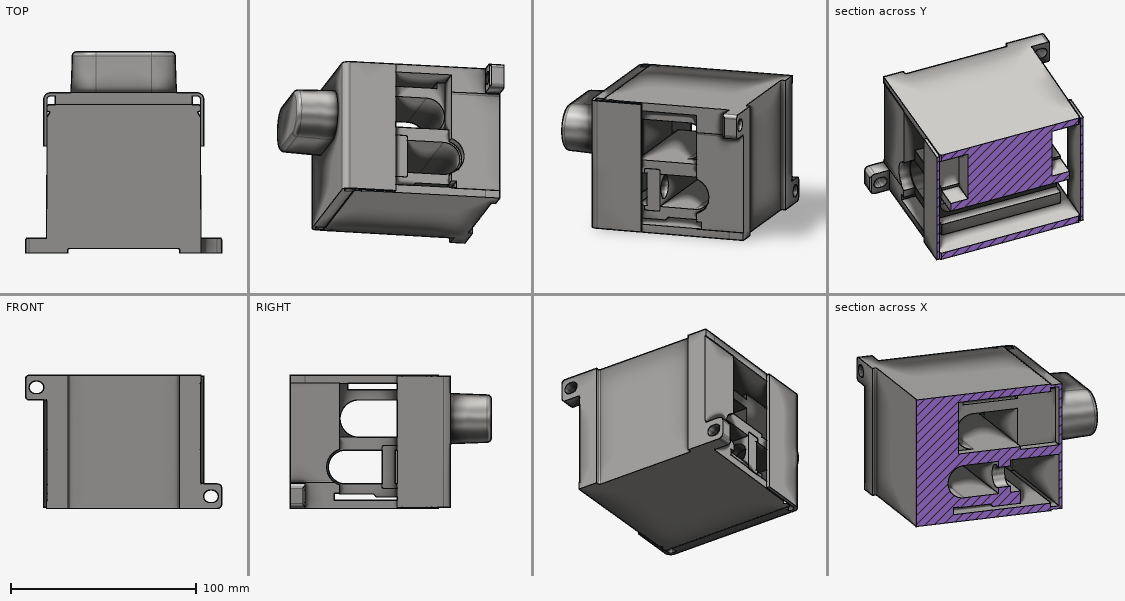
import cadquery as cq

HOUSING_HEIGHT = 72.0
TOTAL_WIDTH = 106.0
TOTAL_DEPTH = 108.6
HALF_HEIGHT = HOUSING_HEIGHT / 2
SPAN = 2 * TOTAL_WIDTH

BASE_HALF_WIDTH = 41.8
END_HALF_WIDTH = 41.3
HOUSING_DEPTH = 80.0
END_CHAMFER = 0.6
SNAP_NOTCH_Y = (73.6, 76.0, 76.6)
SNAP_NOTCH_DEPTH = 1.5
PLATE_THICKNESS = 4.5
PLATE_INNER_Z = HALF_HEIGHT - PLATE_THICKNESS
BASE_DEPTH = 26.7

TAB_DEPTH = 8.0
TAB_HEIGHT = 13.4
LEFT_TAB_RADIUS = 2.0
RIGHT_TAB_RADIUS = 2.7
TAB_BEVEL_WIDTH = 0.5
TAB_BEVEL_DEPTH = 1.1
TAB_HOLE_X = 47.1
TAB_HOLE_Z = 29.4
TAB_HOLE_LENGTH = 7.8
TAB_HOLE_WIDTH = 6.6
PANEL_HALF_WIDTH = 41.4
PANEL_END_Z = 31.8
TAB_ROOT_RADIUS = 1.6

RELIEF_HALF_WIDTH = 30.2
RELIEF_DEPTH = 2.4
RELIEF_FILLET = 1.0

FRAME_HALF_WIDTH = 35.0
FRAME_END_Y = 62.6
CORE_HALF_WIDTH = 24.8
LOWER_FRAME_Z = -28.2
LOWER_FRAME_STEP = 1.6
LOWER_STEP_START_Y = 45.0
UPPER_FRAME_Z = 28.2
UPPER_SLOT_RADIUS = 10.0
UPPER_SLOT_Y = 37.0
UPPER_SLOT_Z = 12.55
LOWER_SLOT_RADIUS = 9.0
LOWER_SLOT_Y = 29.7
LOWER_SLOT_Z = -13.6
SCALLOP_RADIUS = 10.0
UPPER_GAP_START_Y = 31.2
LOWER_GAP_START_Y = 23.9
LOWER_GAP_MOUTH_Z = -27.8
RAIL_TOP_Z = UPPER_SLOT_Z - UPPER_SLOT_RADIUS
SHELF_TOP_Z = 1.0
SHELF_BOTTOM_Z = LOWER_SLOT_Z + LOWER_SLOT_RADIUS

POST_START_Y = 49.6
POST_END_Y = 56.8
POST_HOLE_X = 27.0
POST_HOLE_RADIUS = 6.3
PAD_HEIGHT = 23.2
PAD_END_Y = 58.4
PAD_THICKNESS = 0.2
PAD_RADIUS = 1.0

COVER_HALF_WIDTH = 43.2
COVER_HALF_HEIGHT = 35.4
COVER_THICKNESS = 1.8
COVER_START_Y = 57.7
COVER_END_Y = 86.5
COVER_RADIUS = 3.7
COVER_INNER_Y = COVER_END_Y - COVER_THICKNESS
LIP_HALF_WIDTH = 37.0

KNOB_RADIUS = 13.6
KNOB_CENTRE_DISTANCE = 30.0
KNOB_DRAFT = 2.2
KNOB_FILLET = 2.4
KNOB_HEIGHT = TOTAL_DEPTH - COVER_END_Y


def block(x_range, y_range, z_range):
    """Axis-aligned block between the given (low, high) limits."""
    (x0, x1), (y0, y1), (z0, z1) = x_range, y_range, z_range
    return cq.Workplane("XY").box(x1 - x0, y1 - y0, z1 - z0, centered=False).translate((x0, y0, z0))


def wide_block(half_width, y_range, z_range):
    """Block centred on X = 0."""
    return block((-half_width, half_width), y_range, z_range)


def slot_end(radius, y, z, half_width, end_y):
    """Slot through the part along X: round towards the mounting face, straight to end_y."""
    rounded = cq.Workplane("YZ").center(y, z).circle(radius).extrude(half_width, both=True)
    return rounded.union(wide_block(half_width, (y, end_y), (z - radius, z + radius)))


def housing_blank():
    """Drafted housing outline with snap notches, as a full-height solid."""
    notch_low, notch_tip, notch_high = SNAP_NOTCH_Y
    notch_x = END_HALF_WIDTH - SNAP_NOTCH_DEPTH
    right_side = [
        (BASE_HALF_WIDTH, 0),
        (BASE_HALF_WIDTH, TAB_DEPTH),
        (END_HALF_WIDTH, notch_low),
        (notch_x, notch_tip),
        (END_HALF_WIDTH, notch_high),
        (END_HALF_WIDTH, HOUSING_DEPTH - END_CHAMFER),
        (END_HALF_WIDTH - END_CHAMFER, HOUSING_DEPTH),
    ]
    left_side = [(-x, y) for x, y in reversed(right_side)]
    outline = cq.Workplane("XY").polyline(right_side + left_side).close()
    return outline.extrude(HALF_HEIGHT, both=True)


def mounting_tab(side, radius):
    """Tab at the +Z end for side = -1 and at the -Z end for side = +1."""
    outer = side * TOTAL_WIDTH / 2
    inner = side * RELIEF_HALF_WIDTH
    end_z = -side * HALF_HEIGHT
    root_z = -side * (HALF_HEIGHT - TAB_HEIGHT)
    tab = block(sorted((outer, inner)), (0, TAB_DEPTH), sorted((root_z, end_z)))
    tab = tab.edges("|Y").edges("<X" if side < 0 else ">X").fillet(radius)
    bevel_corner = [
        (outer, TAB_DEPTH),
        (outer - side * TAB_BEVEL_WIDTH, TAB_DEPTH),
        (outer, TAB_DEPTH - TAB_BEVEL_DEPTH),
    ]
    bevel = cq.Workplane("XY").polyline(bevel_corner).close().extrude(HALF_HEIGHT, both=True)
    return tab.cut(bevel)


def tab_hole(side):
    """Elongated screw hole through a mounting tab."""
    hole = cq.Workplane("XZ").center(side * TAB_HOLE_X, -side * TAB_HOLE_Z)
    return hole.slot2D(TAB_HOLE_LENGTH, TAB_HOLE_WIDTH).extrude(TAB_DEPTH, both=True)


def side_panel(side):
    """Material outside the flat side panel, rounded at the root of the tab."""
    x_range = sorted((side * PANEL_HALF_WIDTH, side * TOTAL_WIDTH))
    root_z = -side * (HALF_HEIGHT - TAB_HEIGHT)
    panel = block(x_range, (0, BASE_DEPTH), sorted((root_z, side * PANEL_END_Z)))
    inner_edges = panel.edges("|Y").edges(">X" if side < 0 else "<X")
    return inner_edges.edges(">Z" if side < 0 else "<Z").fillet(TAB_ROOT_RADIUS)


def mounting_relief():
    """Shallow channel along Z across the mounting face."""
    channel = wide_block(RELIEF_HALF_WIDTH, (0, RELIEF_DEPTH), (-HALF_HEIGHT, HALF_HEIGHT))
    return channel.edges("|Z and >Y").fillet(RELIEF_FILLET)


def housing():
    """Front block with tabs and the two end plates; everything between is open behind the block."""
    body = housing_blank()
    body = body.cut(wide_block(SPAN, (BASE_DEPTH, HOUSING_DEPTH), (-PLATE_INNER_Z, PLATE_INNER_Z)))
    for side, radius in ((-1, LEFT_TAB_RADIUS), (1, RIGHT_TAB_RADIUS)):
        body = body.union(mounting_tab(side, radius)).cut(tab_hole(side)).cut(side_panel(side))
    scallop = cq.Workplane("YZ").center(LOWER_SLOT_Y, LOWER_SLOT_Z).circle(SCALLOP_RADIUS)
    scallop = scallop.extrude(SPAN, both=True)
    between_scallops = wide_block(FRAME_HALF_WIDTH, (0, HOUSING_DEPTH), (-HALF_HEIGHT, HALF_HEIGHT))
    body = body.cut(scallop.cut(between_scallops))
    return body.cut(mounting_relief())


def lower_frame():
    """Wide frame around the lower slot, with a rear shelf and a stepped bottom rail."""
    step_end_y = LOWER_STEP_START_Y + LOWER_FRAME_STEP
    rail_z = LOWER_FRAME_Z - LOWER_FRAME_STEP
    profile = [
        (BASE_DEPTH, RAIL_TOP_Z),
        (FRAME_END_Y, RAIL_TOP_Z),
        (FRAME_END_Y, rail_z),
        (step_end_y, rail_z),
        (LOWER_STEP_START_Y, LOWER_FRAME_Z),
        (BASE_DEPTH, LOWER_FRAME_Z),
    ]
    frame = cq.Workplane("YZ").polyline(profile).close().extrude(FRAME_HALF_WIDTH, both=True)
    return frame.union(
        wide_block(FRAME_HALF_WIDTH, (FRAME_END_Y, COVER_INNER_Y), (SHELF_BOTTOM_Z, SHELF_TOP_Z))
    )


def terminal_post():
    """Wall across the lower slot with end pads and two bores along Y."""
    slot_range = (LOWER_SLOT_Z - LOWER_SLOT_RADIUS, LOWER_SLOT_Z + LOWER_SLOT_RADIUS)
    post = wide_block(FRAME_HALF_WIDTH, (POST_START_Y, POST_END_Y), slot_range)
    pad_range = (LOWER_SLOT_Z - PAD_HEIGHT / 2, LOWER_SLOT_Z + PAD_HEIGHT / 2)
    for side in (-1, 1):
        face_x = side * FRAME_HALF_WIDTH
        x_range = sorted((face_x, face_x + side * PAD_THICKNESS))
        pad = block(x_range, (POST_START_Y, PAD_END_Y), pad_range).edges("|X").fillet(PAD_RADIUS)
        pad = pad.cut(block(x_range, (POST_END_Y, PAD_END_Y), slot_range))
        post = post.union(pad)
        bore = cq.Workplane("XZ").center(side * POST_HOLE_X, LOWER_SLOT_Z).circle(POST_HOLE_RADIUS)
        post = post.cut(bore.extrude(-HOUSING_DEPTH))
    return post


def core():
    """Narrow frame around the upper slot and the switch body behind it."""
    frame = wide_block(CORE_HALF_WIDTH, (BASE_DEPTH, FRAME_END_Y), (RAIL_TOP_Z, UPPER_FRAME_Z))
    end_wall = wide_block(CORE_HALF_WIDTH, (BASE_DEPTH, UPPER_GAP_START_Y), (UPPER_FRAME_Z, PLATE_INNER_Z))
    switch = wide_block(CORE_HALF_WIDTH, (FRAME_END_Y, COVER_INNER_Y), (SHELF_TOP_Z, PLATE_INNER_Z))
    return frame.union(end_wall).union(switch)


def cover():
    """U-shaped cover wrapped around the sides, with lips along both Z ends."""
    heights = (-COVER_HALF_HEIGHT, COVER_HALF_HEIGHT)
    shell = wide_block(COVER_HALF_WIDTH, (COVER_START_Y, COVER_END_Y), heights)
    shell = shell.edges("|Z and >Y").fillet(COVER_RADIUS)
    inside = wide_block(COVER_HALF_WIDTH - COVER_THICKNESS, (COVER_START_Y, COVER_INNER_Y), heights)
    inside = inside.edges("|Z and >Y").fillet(COVER_RADIUS - COVER_THICKNESS)
    shell = shell.cut(inside)
    for side in (-1, 1):
        outer_z = side * COVER_HALF_HEIGHT
        lip_heights = sorted((outer_z, outer_z - side * COVER_THICKNESS))
        shell = shell.union(wide_block(LIP_HALF_WIDTH, (HOUSING_DEPTH, COVER_INNER_Y), lip_heights))
    return shell


def knob():
    """Drafted oblong knob with a rounded end, in line with the upper slot."""
    foot = cq.Workplane("XZ", origin=(0, COVER_END_Y, UPPER_SLOT_Z))
    foot = foot.slot2D(KNOB_CENTRE_DISTANCE + 2 * KNOB_RADIUS, 2 * KNOB_RADIUS)
    return foot.extrude(-KNOB_HEIGHT, taper=KNOB_DRAFT).faces(">Y").edges().fillet(KNOB_FILLET)


def interior_cuts():
    """Slots and gaps that pass right through along X."""
    lower_slot = slot_end(LOWER_SLOT_RADIUS, LOWER_SLOT_Y, LOWER_SLOT_Z, SPAN, FRAME_END_Y)
    upper_slot = slot_end(UPPER_SLOT_RADIUS, UPPER_SLOT_Y, UPPER_SLOT_Z, SPAN, FRAME_END_Y)
    lower_gap = wide_block(SPAN, (LOWER_GAP_START_Y, BASE_DEPTH), (-PLATE_INNER_Z, LOWER_GAP_MOUTH_Z))
    return lower_slot.union(upper_slot).union(lower_gap)


result = housing().union(lower_frame()).union(core()).cut(interior_cuts())
result = result.union(terminal_post()).union(cover()).union(knob())